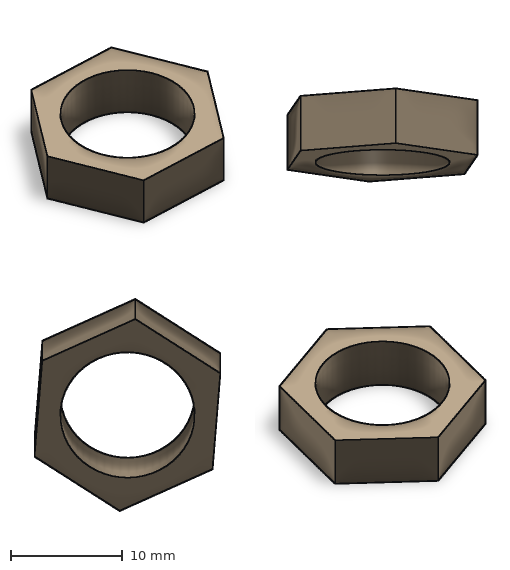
import cadquery as cq
import math

SIDE_COUNT = 6
ACROSS_FLATS = 16.0
THICKNESS = 5.0
BORE_DIAMETER = 12.02

ACROSS_CORNERS = ACROSS_FLATS / math.cos(math.pi / SIDE_COUNT)
CORNER_ROTATION = 90


def hex_body():
    """Plain hexagonal prism standing on the XY plane."""
    return (
        cq.Workplane("XY")
        .transformed(rotate=(0, 0, CORNER_ROTATION))
        .polygon(SIDE_COUNT, ACROSS_CORNERS)
        .extrude(THICKNESS)
    )


def cut_bore(body):
    """Cut the round through bore along the Z axis."""
    bore = cq.Workplane("XY").circle(BORE_DIAMETER / 2).extrude(THICKNESS)
    return body.cut(bore)


result = cut_bore(hex_body())